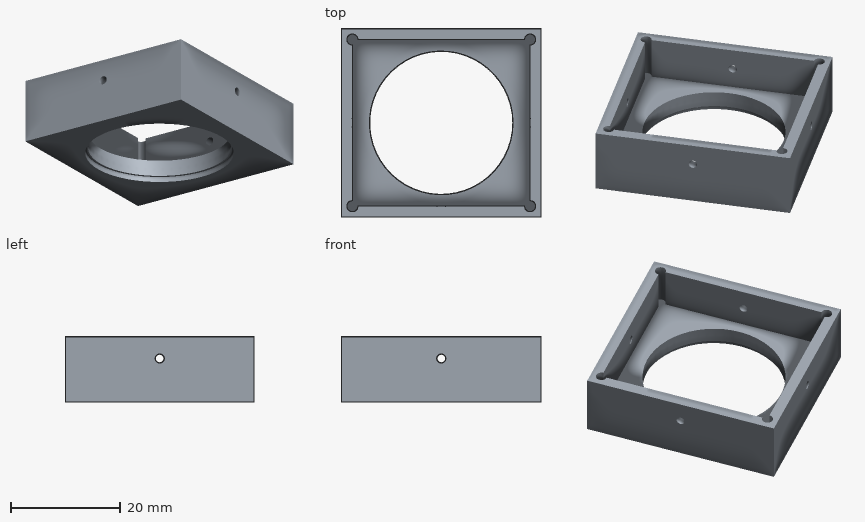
import cadquery as cq

length = 36.5
width = 34.5
height = 12.0

wall = 2.0
floor_thickness = 4.0
relief_diameter = 2.0
pocket_length = length - 2 * wall
pocket_width = width - 2 * wall
pocket_depth = height - floor_thickness

opening_diameter = 26.17
recess_diameter = 27.2
recess_depth = 1.0

cross_hole_diameter = 1.57
cross_hole_drop = 4.0
cross_hole_height = height - cross_hole_drop


def floor_cylinder(diameter, depth):
    """Vertical cylinder rising from the underside of the block."""
    return cq.Workplane("XY").circle(diameter / 2).extrude(depth)


def pocket():
    """Rectangular pocket with a round relief centred on each corner."""
    base = cq.Workplane("XY").workplane(offset=floor_thickness)
    box = base.rect(pocket_length, pocket_width).extrude(pocket_depth)
    reliefs = (
        base.rect(pocket_length, pocket_width, forConstruction=True)
        .vertices()
        .circle(relief_diameter / 2)
        .extrude(pocket_depth)
    )
    return box.union(reliefs)


def cross_hole(plane, span):
    """Horizontal hole through both opposite walls."""
    return (
        cq.Workplane(plane)
        .center(0, cross_hole_height)
        .circle(cross_hole_diameter / 2)
        .extrude(span / 2, both=True)
    )


result = cq.Workplane("XY").box(length, width, height, centered=(True, True, False))
result = result.cut(pocket())
result = result.cut(floor_cylinder(opening_diameter, floor_thickness))
result = result.cut(floor_cylinder(recess_diameter, recess_depth))
result = result.cut(cross_hole("XZ", width))
result = result.cut(cross_hole("YZ", length))